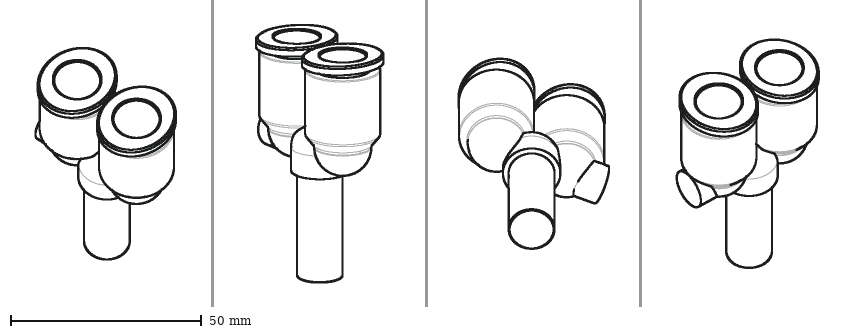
import cadquery as cq

TOTAL_HEIGHT = 63.4
SOCKET_SPACING = 20.0

FLANGE_WIDTH = 19.5
FLANGE_LENGTH = 22.5
FLANGE_THICKNESS = 2.3
FLANGE_CHAMFER = 0.5
NECK_RADIUS = 7.15
NECK_HEIGHT = 1.7

BODY_DIAMETER = 19.7
BODY_HEIGHT = 17.9
BODY_TOP_ROUND = 0.25
BODY_BOTTOM_ROUND = 0.95
TAPER_HEIGHT = 2.85
TAPER_BOTTOM_ROUND = 1.15
SEAT_HEIGHT = 0.65
END_RADIUS = 7.55

BORE_RADIUS = 6.0
BORE_CHAMFER = 0.4

STEM_COLLAR_BOTTOM = 29.05
STEM_COLLAR_HEIGHT = 6.4
TUBE_RADIUS = 6.0
TUBE_END_CHAMFER = 0.25

BAR_RADIUS = 5.25
BAR_HEIGHT = 36.2

body_radius = BODY_DIAMETER / 2
neck_top = TOTAL_HEIGHT - FLANGE_THICKNESS
body_top = neck_top - NECK_HEIGHT
body_bottom = body_top - BODY_HEIGHT
taper_bottom = body_bottom - TAPER_HEIGHT
end_center = taper_bottom - SEAT_HEIGHT
stem_collar_top = STEM_COLLAR_BOTTOM + STEM_COLLAR_HEIGHT
socket_positions = (-SOCKET_SPACING / 2, SOCKET_SPACING / 2)
bar_start = -SOCKET_SPACING / 2 - body_radius


def cylinder(radius, bottom, top):
    return cq.Workplane("XY").workplane(offset=bottom).circle(radius).extrude(top - bottom)


def dome(radius, height):
    return cq.Workplane("XY").sphere(radius).translate((0, 0, height))


def edges_at_height(height):
    """Selector for the edges lying in one horizontal plane of a socket."""
    tolerance = 0.05
    reach = BODY_DIAMETER
    return cq.selectors.BoxSelector(
        (-reach, -reach, height - tolerance),
        (reach, reach, height + tolerance),
    )


def socket_body():
    """Cylinder with a conical taper and a short straight seat below it."""
    profile = (
        cq.Workplane("XZ")
        .moveTo(0, end_center)
        .lineTo(END_RADIUS, end_center)
        .lineTo(END_RADIUS, taper_bottom)
        .lineTo(body_radius, body_bottom)
        .lineTo(body_radius, body_top)
        .lineTo(0, body_top)
        .close()
    )
    body = profile.revolve(360, (0, 0, 0), (0, 1, 0))
    body = body.edges(edges_at_height(body_top)).fillet(BODY_TOP_ROUND)
    body = body.edges(edges_at_height(body_bottom)).fillet(BODY_BOTTOM_ROUND)
    return body.edges(edges_at_height(taper_bottom)).fillet(TAPER_BOTTOM_ROUND)


def release_collar():
    """Oval flange carried on a round neck."""
    flange = (
        cq.Workplane("XY")
        .workplane(offset=neck_top)
        .ellipse(FLANGE_WIDTH / 2, FLANGE_LENGTH / 2)
        .extrude(FLANGE_THICKNESS)
        .faces(">Z")
        .edges()
        .chamfer(FLANGE_CHAMFER)
    )
    return flange.union(cylinder(NECK_RADIUS, body_top, neck_top))


def bore():
    """Hose bore down to the taper, widening into a chamfered mouth."""
    profile = (
        cq.Workplane("XZ")
        .moveTo(0, body_bottom)
        .lineTo(BORE_RADIUS, body_bottom)
        .lineTo(BORE_RADIUS, TOTAL_HEIGHT - BORE_CHAMFER)
        .lineTo(BORE_RADIUS + BORE_CHAMFER, TOTAL_HEIGHT)
        .lineTo(0, TOTAL_HEIGHT)
        .close()
    )
    return profile.revolve(360, (0, 0, 0), (0, 1, 0))


def stem():
    """Tube and collar, closed by a dome between the sockets."""
    tube = cylinder(TUBE_RADIUS, 0, STEM_COLLAR_BOTTOM).faces("<Z").edges().chamfer(TUBE_END_CHAMFER)
    collar = cylinder(END_RADIUS, STEM_COLLAR_BOTTOM, stem_collar_top)
    return tube.union(collar).union(dome(END_RADIUS, stem_collar_top))


def cross_bar():
    """Bar from the outer side of one socket to the axis of the other."""
    return (
        cq.Workplane("YZ")
        .workplane(offset=bar_start)
        .center(0, BAR_HEIGHT)
        .circle(BAR_RADIUS)
        .extrude(SOCKET_SPACING / 2 - bar_start)
    )


socket = socket_body().union(dome(END_RADIUS, end_center)).union(release_collar()).cut(bore())

result = stem().union(cross_bar())
for x in socket_positions:
    result = result.union(socket.translate((x, 0, 0)))